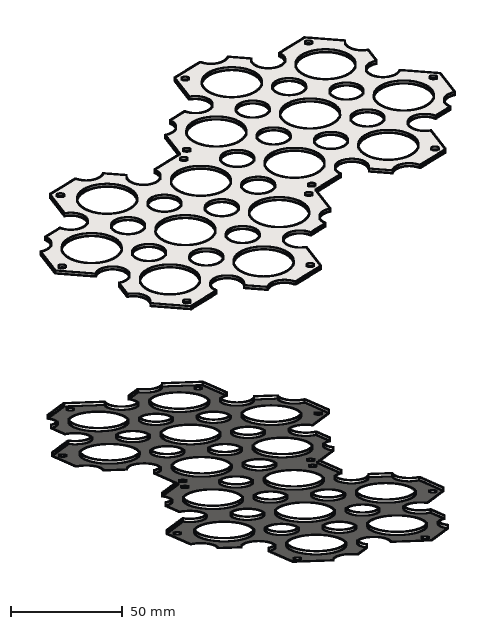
import cadquery as cq
import math

cell_pitch = 45.0
thickness = 1.6
cell_hole_diameter = 27.0
corner_hole_diameter = 15.3
pin_hole_diameter = 3.4
pin_hole_offset = 21.2

corner_radius = cell_pitch / math.sqrt(3)
column_spacing = cell_pitch * math.sqrt(3) / 2
corner_angles = range(0, 360, 60)
neighbour_angles = range(30, 390, 60)

cluster_centres = [
    (-column_spacing, cell_pitch),
    (column_spacing, -cell_pitch),
]


def polar_point(centre, radius, angle):
    """Point at a radius and an angle in degrees around a centre."""
    x = centre[0] + radius * math.cos(math.radians(angle))
    y = centre[1] + radius * math.sin(math.radians(angle))
    return (x, y)


def cylinders(points, diameter):
    return cq.Workplane("XY").pushPoints(points).circle(diameter / 2).extrude(thickness)


def surrounding_cells(cluster):
    """Centres of the six cells around the middle cell."""
    return [polar_point(cluster, cell_pitch, angle) for angle in neighbour_angles]


def open_corners(cluster):
    """Cell corners of one cluster that are opened by a round cut."""
    corners = [polar_point(cluster, corner_radius, angle) for angle in corner_angles]
    for cell, angle in zip(surrounding_cells(cluster), neighbour_angles):
        corners.append(polar_point(cell, corner_radius, angle - 30))
        corners.append(polar_point(cell, corner_radius, angle - 90))
    return corners


def pin_holes(cluster):
    """One pin hole in the solid outer corner of each surrounding cell."""
    cells = surrounding_cells(cluster)
    return [
        polar_point(cell, pin_hole_offset, angle + 30)
        for cell, angle in zip(cells, neighbour_angles)
    ]


cell_centres = []
for cluster in cluster_centres:
    cell_centres += [cluster] + surrounding_cells(cluster)
plate = cq.Workplane("XY").pushPoints(cell_centres).polygon(6, 2 * corner_radius).extrude(thickness)

plate = plate.cut(cylinders(cell_centres, cell_hole_diameter))

for cluster in cluster_centres:
    plate = plate.cut(cylinders(open_corners(cluster), corner_hole_diameter))
    plate = plate.cut(cylinders(pin_holes(cluster), pin_hole_diameter))

result = plate